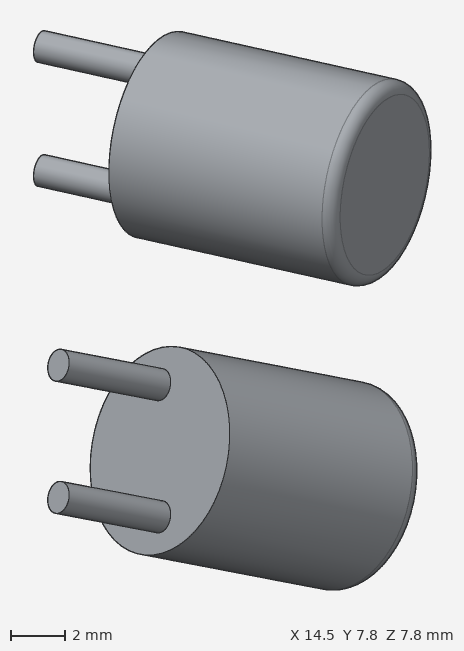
import cadquery as cq

total_length = 14.5
body_diameter = 7.8
pin_length = 5.0
pin_diameter = 1.2
pin_spacing = 5.0
end_fillet_radius = 0.5

body_length = total_length - pin_length
pin_tip_x = -total_length / 2
body_start_x = pin_tip_x + pin_length


def make_body():
    """Round can with a rounded rim on its closed +X end."""
    body = (
        cq.Workplane("YZ", origin=(body_start_x, 0, 0))
        .circle(body_diameter / 2)
        .extrude(body_length)
    )
    return body.faces(">X").edges().fillet(end_fillet_radius)


def make_pins():
    """Two round leads, one above the other, on the -X end."""
    pin_centres = [(0, side * pin_spacing / 2) for side in (-1, 1)]
    return (
        cq.Workplane("YZ", origin=(pin_tip_x, 0, 0))
        .pushPoints(pin_centres)
        .circle(pin_diameter / 2)
        .extrude(pin_length)
    )


result = make_body().union(make_pins())